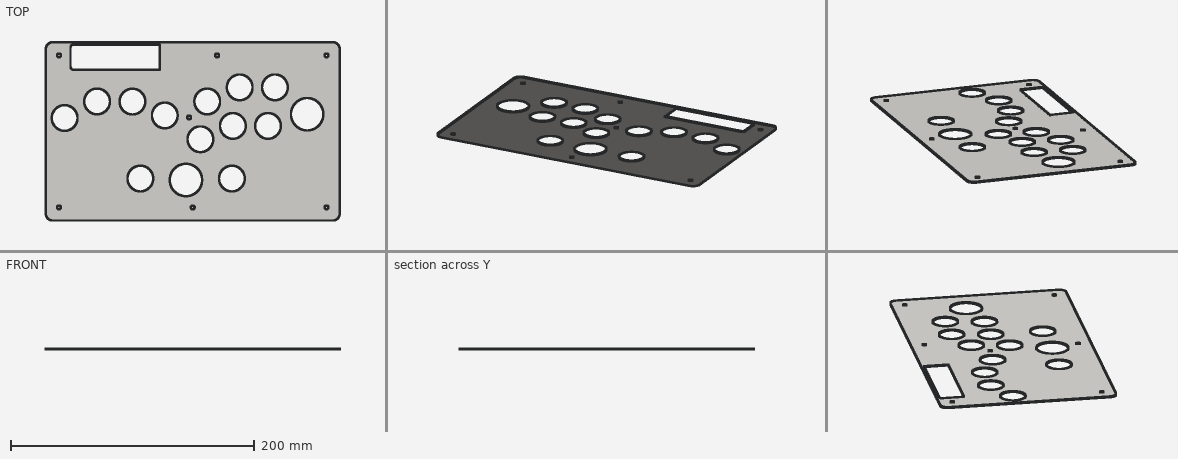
import cadquery as cq

PLATE_LENGTH = 242.0
PLATE_WIDTH = 147.0
PLATE_THICKNESS = 1.0
PLATE_CORNER_RADIUS = 6.0

SCREW_DIAMETER = 3.0
SCREW_EDGE_INSET = 11.0
SCREW_X = PLATE_LENGTH / 2 - SCREW_EDGE_INSET
SCREW_Y = PLATE_WIDTH / 2 - SCREW_EDGE_INSET
SCREW_CENTERS = [
    (-SCREW_X, SCREW_Y),
    (SCREW_X, SCREW_Y),
    (-SCREW_X, -SCREW_Y),
    (SCREW_X, -SCREW_Y),
    (20.0, SCREW_Y),
    (0.0, -SCREW_Y),
    (-3.0, 11.5),
]

BUTTON_DIAMETER = 21.0
DIRECTION_BUTTON_CENTERS = [
    (-105.4, 11.0),
    (-78.7, 24.6),
    (-49.6, 24.5),
    (-23.0, 13.1),
]
UPPER_ACTION_BUTTON_CENTERS = [
    (11.9, 24.6),
    (38.6, 36.2),
    (67.6, 36.2),
]
LOWER_ACTION_BUTTON_CENTERS = [
    (6.3, -6.5),
    (33.0, 4.5),
    (61.9, 4.5),
]
THUMB_BUTTON_CENTERS = [
    (-43.1, -38.8),
    (32.2, -38.8),
]
BUTTON_CENTERS = (
    DIRECTION_BUTTON_CENTERS
    + UPPER_ACTION_BUTTON_CENTERS
    + LOWER_ACTION_BUTTON_CENTERS
    + THUMB_BUTTON_CENTERS
)

LARGE_BUTTON_DIAMETER = 26.5
LARGE_BUTTON_CENTERS = [
    (94.1, 14.1),
    (-5.6, -40.0),
]

WINDOW_LENGTH = 73.1
WINDOW_WIDTH = 20.3
WINDOW_CENTER = (-63.85, 61.0)
WINDOW_CORNER_RADIUS = 2.0


def make_plate():
    """Flat plate with four rounded corners."""
    return (
        cq.Workplane("XY")
        .rect(PLATE_LENGTH, PLATE_WIDTH)
        .extrude(PLATE_THICKNESS)
        .edges("|Z")
        .fillet(PLATE_CORNER_RADIUS)
    )


def make_window_cutter():
    """Block of plate thickness filling the window."""
    return (
        cq.Workplane("XY")
        .center(*WINDOW_CENTER)
        .rect(WINDOW_LENGTH, WINDOW_WIDTH)
        .extrude(PLATE_THICKNESS)
        .edges("|Z and <X")
        .fillet(WINDOW_CORNER_RADIUS)
    )


def make_hole_cutters(centers, diameter):
    """Cylinders of plate thickness, one at each center."""
    return (
        cq.Workplane("XY")
        .pushPoints(centers)
        .circle(diameter / 2)
        .extrude(PLATE_THICKNESS)
    )


result = make_plate().cut(make_window_cutter())
for hole_centers, hole_diameter in [
    (SCREW_CENTERS, SCREW_DIAMETER),
    (BUTTON_CENTERS, BUTTON_DIAMETER),
    (LARGE_BUTTON_CENTERS, LARGE_BUTTON_DIAMETER),
]:
    result = result.cut(make_hole_cutters(hole_centers, hole_diameter))